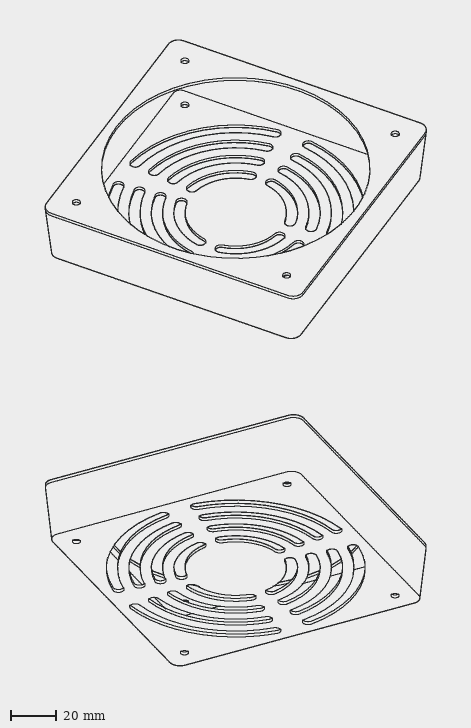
import cadquery as cq
import math

side = 128.0
height = 27.9
cover_thickness = 1.5
corner_radius = 5.0

tray_height = height - cover_thickness
base_side = 123.9
wall_thickness = 1.5
floor_thickness = 1.5
side_gain_per_height = (side - base_side) / tray_height
cavity_floor_side = base_side + side_gain_per_height * floor_thickness - 2 * wall_thickness
cavity_top_side = side - 2 * wall_thickness
cavity_corner_radius = corner_radius - wall_thickness

cover_opening_diameter = 119.0
screw_hole_diameter = 3.6
screw_spacing = 105.0

slot_width = 5.0
ring_count = 4
inner_ring_radius = 25.0
ring_pitch = 10.0
inner_end_offset = 5.1
end_offset_step = 1.0
slots_per_ring = 4


def rounded_square(square_side, radius):
    return cq.Sketch().rect(square_side, square_side).vertices().fillet(radius)


def drafted_block(bottom_side, top_side, block_height, radius):
    """Square block standing on Z = 0 that widens upwards, with the same corner radius throughout."""
    bottom = rounded_square(bottom_side, radius)
    top = rounded_square(top_side, radius).moved(cq.Location(cq.Vector(0, 0, block_height)))
    return cq.Workplane("XY").placeSketch(bottom, top).loft()


def drill_screw_holes(body):
    """Drill the four screw holes all the way through a body."""
    drills = (
        cq.Workplane("XY")
        .rect(screw_spacing, screw_spacing, forConstruction=True)
        .vertices()
        .circle(screw_hole_diameter / 2)
        .extrude(height)
    )
    return body.cut(drills)


def polar_point(radius, angle):
    return (radius * math.cos(angle), radius * math.sin(angle))


def slot_cutter(radius, end_offset):
    """Round-ended arc slot in the +X +Y quadrant."""
    inner = radius - slot_width / 2
    outer = radius + slot_width / 2
    start = math.asin(end_offset / radius)
    end = math.pi / 2 - start
    middle = math.pi / 4
    cap_angle = slot_width / 2 / radius
    return (
        cq.Workplane("XY")
        .moveTo(*polar_point(outer, start))
        .threePointArc(polar_point(outer, middle), polar_point(outer, end))
        .threePointArc(polar_point(radius, end + cap_angle), polar_point(inner, end))
        .threePointArc(polar_point(inner, middle), polar_point(inner, start))
        .threePointArc(polar_point(radius, start - cap_angle), polar_point(outer, start))
        .close()
        .extrude(floor_thickness)
    )


def make_tray():
    """Open tray with drafted walls and a vented floor."""
    tray = drafted_block(base_side, side, tray_height, corner_radius)
    cavity = drafted_block(
        cavity_floor_side, cavity_top_side, tray_height - floor_thickness, cavity_corner_radius
    )
    tray = tray.cut(cavity.translate((0, 0, floor_thickness)))
    for ring in range(ring_count):
        cutter = slot_cutter(
            inner_ring_radius + ring * ring_pitch,
            inner_end_offset + ring * end_offset_step,
        )
        for quadrant in range(slots_per_ring):
            turn = quadrant * 360 / slots_per_ring
            tray = tray.cut(cutter.rotate((0, 0, 0), (0, 0, 1), turn))
    return drill_screw_holes(tray)


def make_cover():
    """Flat square cover with a large round opening, resting on the tray rim."""
    cover = (
        cq.Workplane("XY")
        .workplane(offset=tray_height)
        .rect(side, side)
        .extrude(cover_thickness)
        .edges("|Z")
        .fillet(corner_radius)
        .faces(">Z")
        .workplane()
        .hole(cover_opening_diameter)
    )
    return drill_screw_holes(cover)


tray = make_tray()
cover = make_cover()

result = cq.Compound.makeCompound([tray.val(), cover.val()])